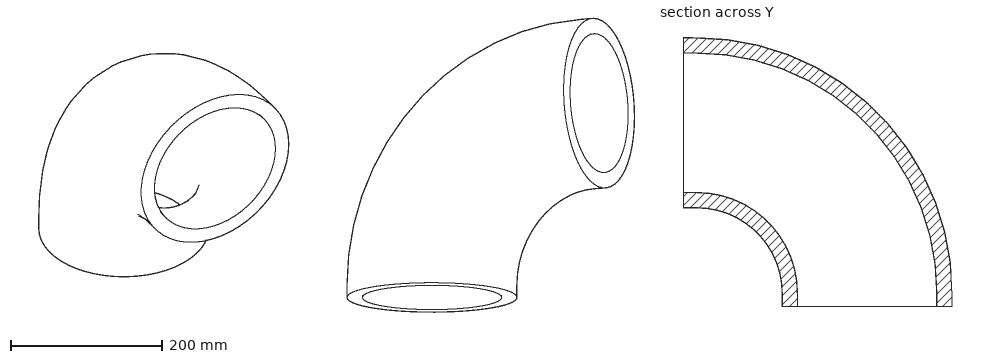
import cadquery as cq

overall_size = 355.5
outer_diameter = 225.0
bore_diameter = 184.0

bend_radius = outer_diameter
straight_length = overall_size - bend_radius - outer_diameter / 2


def elbow(diameter):
    """Solid 90 degree elbow from the origin up along Z, turning to face +X."""
    section = cq.Workplane("XY").circle(diameter / 2)
    lower_end = section.extrude(straight_length)
    bend = (
        cq.Workplane("XY", origin=(0, 0, straight_length))
        .circle(diameter / 2)
        .revolve(90, (bend_radius, 0), (bend_radius, 1))
    )
    upper_end = (
        cq.Workplane("YZ", origin=(bend_radius, 0, straight_length + bend_radius))
        .circle(diameter / 2)
        .extrude(straight_length)
    )
    return lower_end.union(bend).union(upper_end)


result = elbow(outer_diameter).cut(elbow(bore_diameter))